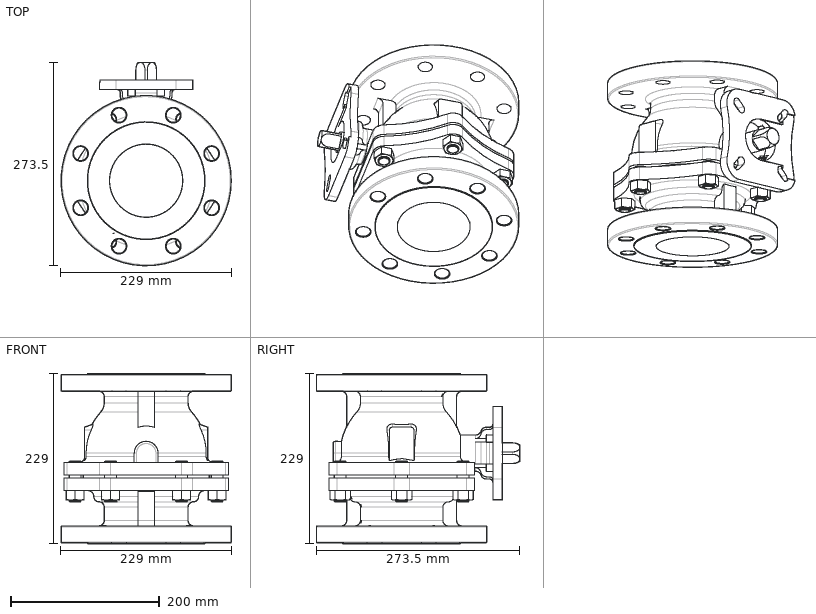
import cadquery as cq
import math


face_to_face = 229.0
half_length = face_to_face / 2
bore_diameter = 98.0
flange_diameter = 229.0
flange_inner_z = 90.3
raised_face_diameter = 158.4
raised_face_height = 1.2
flange_edge_fillet = 1.5
flange_hole_count = 8
flange_hole_diameter = 19.0
flange_hole_chamfer = 1.0
flange_hole_circle = 190.5

neck_radius = 56.5
neck_fillet = 7.0
stem_z = 7.3
ball_radius = 82.5
shoulder_radius = 18.0
body_straight_bottom_z = 2.6

joint_top_z = -5.1
joint_plate_thickness = 17.25
joint_gap = 3.5
joint_spigot_radius = 85.0
bolt_circle_radius = 95.4
bolt_count = 6
joint_corner_radius = 15.3
joint_waist_radius = 195.0
stud_diameter = 16.0
stud_top_overhang = 2.0
stud_chamfer = 1.0
nut_across_flats = 24.0
nut_height = 12.7
nut_chamfer = 1.0
stud_bottom_overhang = 2.2

cap_root_fillet = 8.0
cap_shoulder_radius = 70.6

rib_width = 22.0
rib_reach = 74.0
side_pad_reach = 83.0
side_pad_width = 33.0
side_pad_top_z = 42.2
side_pad_corner = 4.0
side_pad_draft = 20.0
side_pad_depth = 20.0
front_pad_reach = 92.2
front_pad_radius = 16.0
front_pad_fillet = 3.0

housing_radius = 24.5
housing_end_y = 113.9
bracket_start_y = 99.3
bracket_radius = 35.0
bracket_arm_width = 29.5
bracket_fillet = 4.4
cavity_diameter = 57.0
plate_inner_y = 122.4
plate_thickness = 13.0
plate_half_size = 62.75
plate_lobe_radius = 22.5
plate_waist_radius = 143.0
slot_inner_circle = 102.0
slot_outer_circle = 125.0
slot_width = 11.0
slot_count = 4
slot_angle = 45.0
plate_recess_depth = 2.6
plate_recess_width = 90.0
stem_diameter = 28.0
stem_square = 22.0
stem_end_y = 159.0
stem_tip_diameter = 22.0
stem_tip_length = 10.0

joint_parting_z = joint_top_z - joint_plate_thickness
cap_plate_top_z = joint_parting_z - joint_gap
joint_bottom_z = cap_plate_top_z - joint_plate_thickness
plate_outer_y = plate_inner_y + plate_thickness


def stem_plane(y):
    """Sketch plane across the stem: local X is X, local Y is -Z, extrusion goes to +Y."""
    return cq.Workplane(cq.Plane(origin=(0, y, stem_z), xDir=(1, 0, 0), normal=(0, 1, 0)))


def polar_point(center_x, center_y, radius, angle):
    """Point at a radius and an angle in degrees around a center."""
    turn = math.radians(angle)
    return (center_x + radius * math.cos(turn), center_y + radius * math.sin(turn))


def bolt_position(index):
    return polar_point(0, 0, bolt_circle_radius, index * 360 / bolt_count)


def lobed_outline(plane, lobe_centers, lobe_radius, waist_radius, waisted_sides):
    """Closed outline around counterclockwise lobes.

    Side i joins lobe i to the next lobe. Sides listed in waisted_sides are arcs curving
    inward, tangent to both lobes; the other sides are straight tangents.
    """
    count = len(lobe_centers)
    side_angles = []
    waist_angles = []
    for index, (x, y) in enumerate(lobe_centers):
        next_x, next_y = lobe_centers[(index + 1) % count]
        side_length = math.hypot(next_x - x, next_y - y)
        side_angles.append(math.degrees(math.atan2(next_y - y, next_x - x)) - 90)
        half_angle = math.degrees(math.asin(side_length / 2 / (waist_radius + lobe_radius)))
        waist_angles.append(half_angle if index in waisted_sides else 0)

    first_arrival = side_angles[-1] - waist_angles[-1]
    outline = plane.moveTo(*polar_point(*lobe_centers[0], lobe_radius, first_arrival))
    for index, (x, y) in enumerate(lobe_centers):
        previous_side = (index - 1) % count
        arrival = side_angles[previous_side] - waist_angles[previous_side]
        departure = side_angles[index] + waist_angles[index]
        turn = (departure - arrival) % 360
        middle_of_lobe = polar_point(x, y, lobe_radius, arrival + turn / 2)
        outline = outline.threePointArc(middle_of_lobe, polar_point(x, y, lobe_radius, departure))
        next_center = lobe_centers[(index + 1) % count]
        side_end = polar_point(*next_center, lobe_radius, side_angles[index] - waist_angles[index])
        if index in waisted_sides:
            waist_center = polar_point(x, y, waist_radius + lobe_radius, departure)
            middle_of_waist = polar_point(*waist_center, waist_radius, side_angles[index] + 180)
            outline = outline.threePointArc(middle_of_waist, side_end)
        else:
            outline = outline.lineTo(*side_end)
    return outline.close()


def end_flange():
    """Upper end flange; the lower one is its mirror image."""
    rim_height = half_length - raised_face_height - flange_inner_z
    disc = cq.Workplane("XY", origin=(0, 0, flange_inner_z)).circle(flange_diameter / 2).extrude(rim_height)
    disc = disc.edges().fillet(flange_edge_fillet)
    raised_face = (
        cq.Workplane("XY", origin=(0, 0, flange_inner_z))
        .circle(raised_face_diameter / 2)
        .extrude(half_length - flange_inner_z)
        .faces(">Z")
        .chamfer(raised_face_height / 2)
    )
    hole_radius = flange_hole_diameter / 2
    first_hole_angle = 180 / flange_hole_count
    rim_top = flange_inner_z + rim_height
    hole_profile = [
        (0, flange_inner_z),
        (hole_radius, flange_inner_z),
        (hole_radius, rim_top - flange_hole_chamfer),
        (hole_radius + flange_hole_chamfer, rim_top),
        (0, rim_top),
    ]
    hole = cq.Workplane("XZ").polyline(hole_profile).close().revolve(360, (0, 0), (0, 1))
    flange = disc.union(raised_face)
    for index in range(flange_hole_count):
        angle = first_hole_angle + index * 360 / flange_hole_count
        x, y = polar_point(0, 0, flange_hole_circle / 2, angle)
        flange = flange.cut(hole.translate((x, y, 0)))
    return flange


def body_shell():
    """Ball-shaped body revolved about the valve axis, from the joint up to the upper flange."""
    center_radius = neck_radius + shoulder_radius
    center_distance = ball_radius + shoulder_radius
    shoulder_angle = math.degrees(math.acos(center_radius / center_distance))
    shoulder_z = stem_z + math.sqrt(center_distance**2 - center_radius**2)
    ball_end = polar_point(0, stem_z, ball_radius, shoulder_angle)
    ball_middle = polar_point(0, stem_z, ball_radius, shoulder_angle / 2)
    shoulder_middle = polar_point(center_radius, shoulder_z, shoulder_radius, 180 + shoulder_angle / 2)
    foot_fillet = body_straight_bottom_z - joint_top_z
    foot_middle = polar_point(ball_radius + foot_fillet, body_straight_bottom_z, foot_fillet, 225)
    neck_top = flange_inner_z - neck_fillet
    neck_middle = polar_point(neck_radius + neck_fillet, neck_top, neck_fillet, 135)
    return (
        cq.Workplane("XZ")
        .moveTo(0, joint_top_z)
        .lineTo(ball_radius + foot_fillet, joint_top_z)
        .threePointArc(foot_middle, (ball_radius, body_straight_bottom_z))
        .lineTo(ball_radius, stem_z)
        .threePointArc(ball_middle, ball_end)
        .threePointArc(shoulder_middle, (neck_radius, shoulder_z))
        .lineTo(neck_radius, neck_top)
        .threePointArc(neck_middle, (neck_radius + neck_fillet, flange_inner_z))
        .lineTo(0, flange_inner_z)
        .close()
        .revolve(360, (0, 0), (0, 1))
    )


def cap_shell():
    """End cap shoulder and neck revolved about the valve axis, below the joint."""
    throat_radius = neck_radius + neck_fillet
    root_radius = cap_shoulder_radius + cap_root_fillet
    corner_radius = cap_shoulder_radius - throat_radius
    shoulder_z = joint_bottom_z - cap_root_fillet
    throat_z = shoulder_z - corner_radius
    neck_top = throat_z - neck_fillet
    neck_bottom = -flange_inner_z + neck_fillet
    root_middle = polar_point(root_radius, shoulder_z, cap_root_fillet, 135)
    corner_middle = polar_point(throat_radius, shoulder_z, corner_radius, 315)
    neck_top_middle = polar_point(throat_radius, neck_top, neck_fillet, 135)
    neck_bottom_middle = polar_point(throat_radius, neck_bottom, neck_fillet, 225)
    return (
        cq.Workplane("XZ")
        .moveTo(0, joint_bottom_z)
        .lineTo(root_radius, joint_bottom_z)
        .threePointArc(root_middle, (cap_shoulder_radius, shoulder_z))
        .threePointArc(corner_middle, (throat_radius, throat_z))
        .threePointArc(neck_top_middle, (neck_radius, neck_top))
        .lineTo(neck_radius, neck_bottom)
        .threePointArc(neck_bottom_middle, (throat_radius, -flange_inner_z))
        .lineTo(0, -flange_inner_z)
        .close()
        .revolve(360, (0, 0), (0, 1))
    )


def joint_plate(bottom_z):
    """Six-lobed plate: lobes around the bolts, straight +Y and -Y sides, four waisted sides."""
    lobe_centers = [bolt_position(index) for index in range(bolt_count)]
    waisted_sides = (0, 2, 3, 5)
    plane = cq.Workplane("XY", origin=(0, 0, bottom_z))
    outline = lobed_outline(plane, lobe_centers, joint_corner_radius, joint_waist_radius, waisted_sides)
    return outline.extrude(joint_plate_thickness)


def stud_with_nut():
    """One stud through both joint plates with its hexagon nut underneath."""
    nut_bottom_z = joint_bottom_z - nut_height
    stud_bottom_z = nut_bottom_z - stud_bottom_overhang
    stud_length = joint_top_z + stud_top_overhang - stud_bottom_z
    stud = (
        cq.Workplane("XY", origin=(0, 0, stud_bottom_z))
        .circle(stud_diameter / 2)
        .extrude(stud_length)
        .faces("<Z or >Z")
        .chamfer(stud_chamfer)
    )
    nut_across_corners = nut_across_flats / math.cos(math.pi / 6)
    nut = (
        cq.Workplane("XY", origin=(0, 0, nut_bottom_z))
        .transformed(rotate=(0, 0, 90))
        .polygon(6, nut_across_corners)
        .extrude(nut_height)
    )
    nut_envelope = (
        cq.Workplane("XY", origin=(0, 0, nut_bottom_z))
        .circle(nut_across_corners / 2)
        .extrude(nut_height)
        .faces("<Z")
        .chamfer(nut_chamfer, 2 * nut_chamfer)
    )
    return stud.union(nut.intersect(nut_envelope))


def bolted_joint():
    joint = joint_plate(joint_parting_z).union(joint_plate(joint_bottom_z))
    spigot = (
        cq.Workplane("XY", origin=(0, 0, joint_bottom_z))
        .circle(joint_spigot_radius)
        .extrude(joint_top_z - joint_bottom_z)
    )
    joint = joint.union(spigot)
    stud = stud_with_nut()
    for index in range(bolt_count):
        x, y = bolt_position(index)
        joint = joint.union(stud.translate((x, y, 0)))
    return joint


def rib_pair(inner_end_z, flange_z):
    """Flat ribs on the +Y and -Y sides, flared where they meet an end flange."""
    toward_body = math.copysign(1, inner_end_z - flange_z)
    flare_z = flange_z + toward_body * neck_fillet
    flare_middle = polar_point(rib_reach + neck_fillet, flare_z, neck_fillet, 180 + toward_body * 45)
    rib = (
        cq.Workplane("YZ", origin=(-rib_width / 2, 0, 0))
        .moveTo(0, inner_end_z)
        .lineTo(rib_reach, inner_end_z)
        .lineTo(rib_reach, flare_z)
        .threePointArc(flare_middle, (rib_reach + neck_fillet, flange_z))
        .lineTo(0, flange_z)
        .close()
        .extrude(rib_width)
    )
    return rib.union(rib.mirror("XZ"))


def side_pads():
    """Drafted pads standing on the joint at the +X and -X sides of the body."""
    pad_bottom_z = joint_parting_z + joint_plate_thickness / 2
    pad_height = side_pad_top_z - pad_bottom_z
    pad = (
        cq.Workplane("YZ", origin=(side_pad_reach, 0, pad_bottom_z + pad_height / 2))
        .sketch()
        .rect(side_pad_width, pad_height)
        .vertices()
        .fillet(side_pad_corner)
        .finalize()
        .extrude(-side_pad_depth, taper=-side_pad_draft)
    )
    region_above_joint = (
        cq.Workplane("XY", origin=(0, 0, joint_parting_z))
        .rect(flange_diameter, flange_diameter)
        .extrude(half_length)
    )
    pad = pad.intersect(region_above_joint)
    return pad.union(pad.mirror("YZ"))


def front_pad():
    """Round-topped pad at the -Y side, level with the stem, rounded along its outer edge."""
    base_z = joint_parting_z + joint_plate_thickness / 2
    pad = (
        cq.Workplane("XZ")
        .moveTo(-front_pad_radius, base_z)
        .lineTo(-front_pad_radius, stem_z)
        .threePointArc((0, stem_z + front_pad_radius), (front_pad_radius, stem_z))
        .lineTo(front_pad_radius, base_z)
        .close()
        .extrude(front_pad_reach)
    )
    return pad.faces("<Y").edges("not <Z").fillet(front_pad_fillet)


def stem_housing():
    return stem_plane(0).circle(housing_radius).extrude(housing_end_y)


def bracket():
    """Four curved arms between the stem housing and the actuator plate."""
    cylinder_end_y = plate_inner_y - bracket_fillet
    arc_join = ((bracket_radius + housing_radius) / 2, (housing_end_y + bracket_start_y) / 2)
    fillet_middle = polar_point(bracket_radius + bracket_fillet, cylinder_end_y, bracket_fillet, 135)
    outline = (
        cq.Workplane("XY")
        .moveTo(0, plate_inner_y)
        .lineTo(bracket_radius + bracket_fillet, plate_inner_y)
        .threePointArc(fillet_middle, (bracket_radius, cylinder_end_y))
        .lineTo(bracket_radius, housing_end_y)
        .tangentArcPoint(arc_join, relative=False)
        .tangentArcPoint((housing_radius, bracket_start_y), relative=False)
        .lineTo(0, bracket_start_y)
        .close()
    )
    solid = outline.revolve(360, (0, 0), (0, 1)).translate((0, 0, stem_z))
    height = plate_inner_y - bracket_start_y
    span = 2 * plate_half_size
    arms = stem_plane(bracket_start_y).rect(span, bracket_arm_width).extrude(height)
    arms = arms.union(stem_plane(bracket_start_y).rect(bracket_arm_width, span).extrude(height))
    return solid.intersect(arms)


def actuator_plate():
    """Plate with four corner lobes, waisted -X and +X sides and a radial slot in each lobe."""
    offset = plate_half_size - plate_lobe_radius
    lobe_centers = [(offset, -offset), (offset, offset), (-offset, offset), (-offset, -offset)]
    waisted_sides = (0, 2)
    plane = stem_plane(plate_inner_y)
    outline = lobed_outline(plane, lobe_centers, plate_lobe_radius, plate_waist_radius, waisted_sides)
    plate = outline.extrude(plate_thickness)
    slot_middle = (slot_inner_circle + slot_outer_circle) / 4
    slot_length = (slot_outer_circle - slot_inner_circle) / 2 + slot_width
    slots = (
        stem_plane(plate_inner_y)
        .polarArray(slot_middle, slot_angle, 360, slot_count)
        .slot2D(slot_length, slot_width)
        .extrude(plate_thickness)
    )
    recess = plate_recess(slot_middle * math.cos(math.radians(slot_angle)), plate_recess_width)
    channel = plate_recess(0, cavity_diameter)
    return plate.cut(slots).cut(recess).cut(channel)


def plate_recess(inner_end, width):
    """Shallow rectangular cut in the outer face, open at the -X side, ending at X = -inner_end."""
    length = plate_half_size - inner_end
    return (
        stem_plane(plate_outer_y - plate_recess_depth)
        .center(-inner_end - length / 2, 0)
        .rect(length, width)
        .extrude(plate_recess_depth)
    )


def stem():
    """Round stem ending in a square turned 45 degrees, with rounded-off corners and tip."""
    stem_radius = stem_diameter / 2
    square_start_y = plate_outer_y - plate_recess_depth
    round_bar = stem_plane(housing_end_y).circle(stem_radius).extrude(square_start_y - housing_end_y)
    square = (
        stem_plane(square_start_y)
        .transformed(rotate=(0, 0, 45))
        .rect(stem_square, stem_square)
        .extrude(stem_end_y - square_start_y)
    )
    tip_start_y = stem_end_y - stem_tip_length
    envelope = (
        cq.Workplane("XY", origin=(0, 0, stem_z))
        .moveTo(0, square_start_y)
        .lineTo(stem_radius, square_start_y)
        .lineTo(stem_radius, tip_start_y)
        .tangentArcPoint((stem_tip_diameter / 2, stem_end_y), relative=False)
        .lineTo(0, stem_end_y)
        .close()
        .revolve(360, (0, 0), (0, 1))
    )
    return round_bar.union(square.intersect(envelope))


upper_flange = end_flange()
lower_flange = upper_flange.mirror("XY")
cavity = stem_plane(housing_end_y).circle(cavity_diameter / 2).extrude(plate_outer_y - housing_end_y)
bore = cq.Workplane("XY", origin=(0, 0, -half_length)).circle(bore_diameter / 2).extrude(face_to_face)

result = body_shell().union(cap_shell()).union(bolted_joint())
result = result.union(upper_flange).union(lower_flange)
result = result.union(rib_pair(stem_z, flange_inner_z))
result = result.union(rib_pair(joint_bottom_z, -flange_inner_z))
result = result.union(side_pads()).union(front_pad()).union(stem_housing())
result = result.union(bracket().union(actuator_plate()).cut(cavity)).union(stem())
result = result.cut(bore)